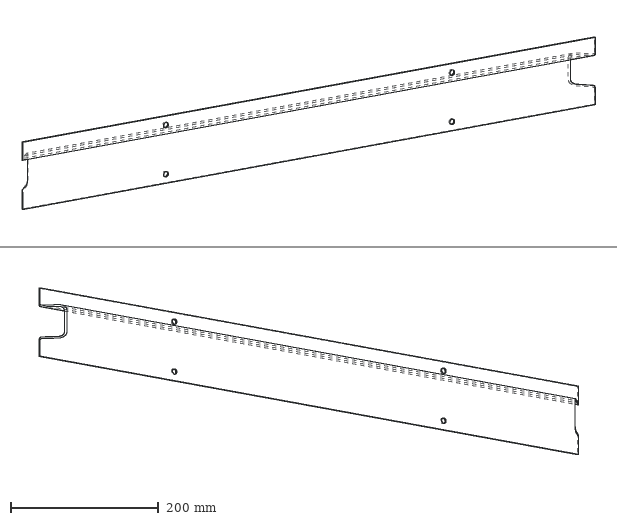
import cadquery as cq

length = 914.0
depth = 28.0
height = 95.0
hat_height = 47.0
thickness = 2.5
web_bend_outer = 8.0
flange_bend_inner = 2.0
hole_diameter = 7.4
hole_spacing = 457.0
hole_height = 35.0

back = depth / 2
front = -back
top = height / 2
wall_top = hat_height / 2
web_bend_inner = web_bend_outer - thickness
flange_bend_outer = flange_bend_inner + thickness
miter_depth = depth - thickness


def stepped_bar(inset, web_radius, flange_radius):
    """Solid bar behind the sheet surface lying `inset` below its outer face."""
    step_x = back - thickness + inset
    web_x = front + inset
    wall_z = wall_top - inset
    bar_back = back + depth
    bar = (
        cq.Workplane("XZ", origin=(0, length / 2, 0))
        .moveTo(bar_back, top)
        .lineTo(step_x, top)
        .lineTo(step_x, wall_z)
        .lineTo(web_x, wall_z)
        .lineTo(web_x, -wall_z)
        .lineTo(step_x, -wall_z)
        .lineTo(step_x, -top)
        .lineTo(bar_back, -top)
        .close()
        .extrude(length)
    )

    def edges_along_y(x):
        near = cq.selectors.BoxSelector(
            (x - thickness / 2, -length, -wall_z - thickness / 2),
            (x + thickness / 2, length, wall_z + thickness / 2),
        )
        return bar.edges("|Y").edges(near)

    bar = edges_along_y(web_x).fillet(web_radius)
    return edges_along_y(step_x).fillet(flange_radius)


def end_cutter(side):
    """Wedge that miters the hat at 45 degrees at one end (side is +1 or -1)."""
    end = side * length / 2
    return (
        cq.Workplane("XY", origin=(0, 0, -top))
        .moveTo(front, end)
        .lineTo(front + miter_depth, end)
        .lineTo(front, end - side * miter_depth)
        .close()
        .extrude(height)
    )


def flange_holes():
    """Round holes through the flanges, two in each."""
    return (
        cq.Workplane("YZ", origin=(front, 0, 0))
        .rect(hole_spacing, 2 * hole_height, forConstruction=True)
        .vertices()
        .circle(hole_diameter / 2)
        .extrude(depth)
    )


outer_bar = stepped_bar(0, web_bend_outer, flange_bend_inner)
inner_bar = stepped_bar(thickness, web_bend_inner, flange_bend_outer)
channel = outer_bar.cut(inner_bar)

for side in (-1, 1):
    channel = channel.cut(end_cutter(side))

result = channel.cut(flange_holes())